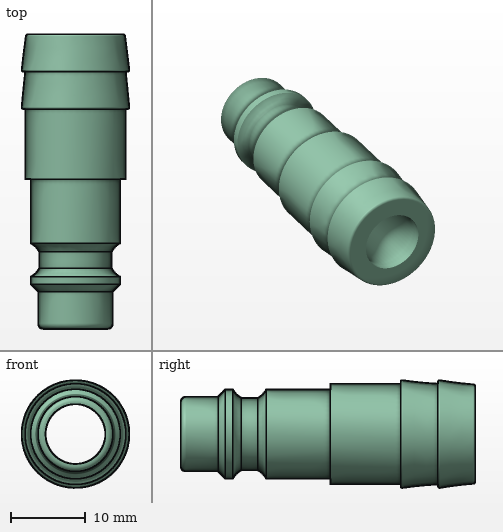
import cadquery as cq
import math

length = 39.5
nozzle_end = 5.0
collar_start = 6.0
collar_end = 7.0
groove_end = 11.5
shoulder = 20.05
barb_pitch = 5.0
barb_count = 2

bore_radius = 4.0
nozzle_radius = 5.0
groove_radius = 4.85
plug_radius = 6.0
body_radius = 6.75
hose_end_radius = 6.68
barb_radius = 7.23

tip_round = 0.75
barb_round = 0.25
hose_end_round = 0.35
groove_wall_arc = 2.5

tip_y = -length / 2
hose_end_y = length / 2
groove_slope = plug_radius - groove_radius


def from_tip(distance):
    return tip_y + distance


def round_midpoint(center_radius, center_y, radius, side):
    """Middle of a quarter round facing outward and toward side (+1 or -1) along Y."""
    offset = radius * math.sqrt(0.5)
    return (center_radius + offset, center_y + side * offset)


def add_barb(profile, back_y, front_y, front_radius):
    """Square-backed barb with a rounded crest, tapering toward the hose end."""
    crest_center = barb_radius - barb_round
    return (
        profile.lineTo(crest_center, back_y)
        .threePointArc(
            round_midpoint(crest_center, back_y + barb_round, barb_round, -1),
            (barb_radius, back_y + barb_round),
        )
        .lineTo(front_radius, front_y)
    )


profile = (
    cq.Workplane("XY")
    .moveTo(bore_radius, tip_y)
    .lineTo(nozzle_radius - tip_round, tip_y)
    .threePointArc(
        round_midpoint(nozzle_radius - tip_round, tip_y + tip_round, tip_round, -1),
        (nozzle_radius, tip_y + tip_round),
    )
    .lineTo(nozzle_radius, from_tip(nozzle_end))
    .lineTo(plug_radius, from_tip(collar_start))
    .lineTo(plug_radius, from_tip(collar_end))
    .radiusArc((groove_radius, from_tip(collar_end + groove_slope)), groove_wall_arc)
    .lineTo(groove_radius, from_tip(groove_end - groove_slope))
    .radiusArc((plug_radius, from_tip(groove_end)), groove_wall_arc)
    .lineTo(plug_radius, from_tip(shoulder))
    .lineTo(body_radius, from_tip(shoulder))
    .lineTo(body_radius, hose_end_y - barb_count * barb_pitch)
)

for barb in range(barb_count):
    back_y = hose_end_y - (barb_count - barb) * barb_pitch
    is_last = barb == barb_count - 1
    front_y = hose_end_y - hose_end_round if is_last else back_y + barb_pitch
    front_radius = hose_end_radius if is_last else body_radius
    profile = add_barb(profile, back_y, front_y, front_radius)

hose_round_center = hose_end_radius - hose_end_round
profile = (
    profile.threePointArc(
        round_midpoint(hose_round_center, hose_end_y - hose_end_round, hose_end_round, 1),
        (hose_round_center, hose_end_y),
    )
    .lineTo(bore_radius, hose_end_y)
    .close()
)

result = profile.revolve(360, (0, 0, 0), (0, 1, 0))